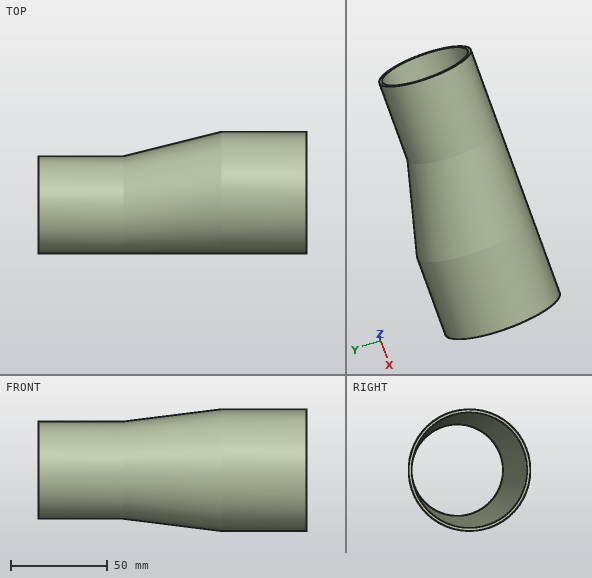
import cadquery as cq

total_length = 139.7
tangent_length = 44.4
large_diameter = 63.5
small_diameter = 50.9
wall = 1.7

taper_length = total_length - 2 * tangent_length
taper_start = tangent_length
taper_end = taper_start + taper_length
small_axis_y = -(large_diameter - small_diameter) / 2


def tube_section(x, axis_y, diameter):
    """Circle normal to X, centred at (x, axis_y, 0)."""
    return cq.Workplane("YZ", origin=(x, axis_y, 0)).circle(diameter / 2)


def reducer_body(inset):
    """Solid reducer shape with its outer surface moved inward by inset."""
    small = small_diameter - 2 * inset
    large = large_diameter - 2 * inset
    small_tube = tube_section(0, small_axis_y, small).extrude(tangent_length)
    large_tube = tube_section(taper_end, 0, large).extrude(tangent_length)
    taper_ends = [
        tube_section(taper_start, small_axis_y, small).wires().val(),
        tube_section(taper_end, 0, large).wires().val(),
    ]
    taper = cq.Workplane(cq.Solid.makeLoft(taper_ends, ruled=True))
    return small_tube.union(taper).union(large_tube)


outer_body = reducer_body(0)
bore = reducer_body(wall)
result = cq.Workplane(outer_body.cut(bore).solids().val())